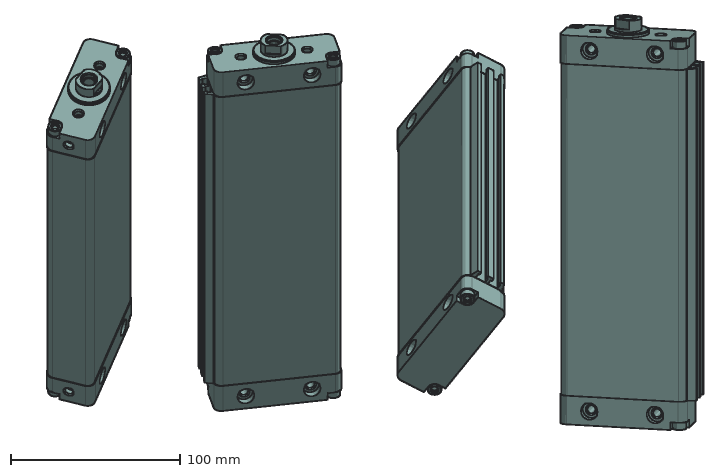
import cadquery as cq

total_height = 245.0
cap_width = 30.0
cap_depth = 77.0
cap_height = 17.5
corner_radius = 4.7
body_top = 236.0

barrel_inset = 0.5
barrel_bottom = cap_height
barrel_top = body_top - cap_height

rail_top = cap_depth / 2 + 5.1
lip_height = 2.0
rail_floor = cap_depth / 2 + 0.2
tee_half_neck = 1.0
tee_half_head = 2.0
hook_lip_x = 6.9
hook_neck_x = 7.5
hook_top_x = 9.3
hook_base_x = 11.0

collar_diameter = 25.0
collar_height = 2.2
collar_chamfer_height = 0.7
collar_chamfer_width = 0.5

rod_diameter = 16.0
rod_flat_width = 13.0
rod_flat_height = 5.5
rod_flat_angle = -16.0
rod_rim_diameter = 10.0
rod_thread_diameter = 8.5
rod_thread_depth = 3.0
rod_drill_diameter = 6.5
rod_drill_depth = 9.8
rod_point_depth = 2.2

hole_spacing = 40.0
mount_bore_diameter = 10.0
mount_bore_depth = 4.7
mount_hole_rim_diameter = 6.5
mount_hole_diameter = 5.0
tapped_rim_diameter = 6.5
tapped_thread_diameter = 5.0
tapped_thread_depth = 4.0
tapped_drill_diameter = 4.0
tapped_drill_depth = 5.0

head_diameter = 8.3
head_height = 4.7
head_face_diameter = 7.5
notch_diameter = 8.5
head_inset = 5.0
socket_rim_diameter = 5.0
socket_diameter = 4.0
socket_depth = 2.0
socket_point_depth = 1.2


def threaded_hole(rim_diameter, thread_diameter, thread_depth, drill_diameter, drill_depth, point_depth=0.0):
    """Cutter for a countersunk and stepped blind hole, running from the origin along -Z."""
    rim_radius = rim_diameter / 2
    thread_radius = thread_diameter / 2
    drill_radius = drill_diameter / 2
    countersink_depth = rim_radius - thread_radius
    outline = (
        cq.Workplane("XZ")
        .lineTo(rim_radius, 0)
        .lineTo(thread_radius, -countersink_depth)
        .lineTo(thread_radius, -thread_depth)
        .lineTo(drill_radius, -thread_depth)
        .lineTo(drill_radius, -drill_depth)
        .lineTo(0, -drill_depth - point_depth)
    )
    return outline.close().revolve(360, (0, 0, 0), (0, 1, 0))


def tapped_hole():
    """Cutter for the small flat-bottomed tapped hole used on the cap faces."""
    return threaded_hole(
        tapped_rim_diameter,
        tapped_thread_diameter,
        tapped_thread_depth,
        tapped_drill_diameter,
        tapped_drill_depth,
    )


def mount_hole():
    """Cutter for a through hole along X, counterbored and countersunk from both side faces."""
    half_width = cap_width / 2
    bore_floor = half_width - mount_bore_depth
    hole_radius = mount_hole_diameter / 2
    rim_radius = mount_hole_rim_diameter / 2
    rim_end = bore_floor - (rim_radius - hole_radius)
    bore_radius = mount_bore_diameter / 2
    return (
        cq.Workplane("XY")
        .moveTo(-half_width, 0)
        .lineTo(-half_width, bore_radius)
        .lineTo(-bore_floor, bore_radius)
        .lineTo(-bore_floor, rim_radius)
        .lineTo(-rim_end, hole_radius)
        .lineTo(rim_end, hole_radius)
        .lineTo(bore_floor, rim_radius)
        .lineTo(bore_floor, bore_radius)
        .lineTo(half_width, bore_radius)
        .lineTo(half_width, 0)
        .close()
        .revolve(360, (0, 0, 0), (1, 0, 0))
    )


def screw_notch():
    """Cutter for the +X +Y corner recess: round inside, open to both side faces, head_height deep."""
    radius = notch_diameter / 2
    screw_x = cap_width / 2 - head_inset
    screw_y = cap_depth / 2 - head_inset
    reach = 2 * head_inset
    return (
        cq.Workplane("XY")
        .moveTo(screw_x - radius, screw_y)
        .radiusArc((screw_x, screw_y - radius), -radius)
        .lineTo(screw_x + reach, screw_y - radius)
        .lineTo(screw_x + reach, screw_y + reach)
        .lineTo(screw_x - radius, screw_y + reach)
        .close()
        .extrude(-head_height)
    )


def screw_head():
    """Head of the +X +Y corner screw with its socket, upper face at Z = 0."""
    radius = head_diameter / 2
    screw_center = (cap_width / 2 - head_inset, cap_depth / 2 - head_inset, 0)
    head = cq.Workplane("XY").circle(radius).extrude(-head_height)
    head = head.faces(">Z").chamfer((head_diameter - head_face_diameter) / 2)
    socket_rim = (socket_rim_diameter - socket_diameter) / 2
    socket = (
        cq.Workplane("XZ")
        .lineTo(socket_rim_diameter / 2, 0)
        .lineTo(socket_diameter / 2, -socket_rim)
        .lineTo(socket_diameter / 2, -socket_depth)
        .lineTo(0, -socket_depth - socket_point_depth)
        .close()
        .revolve(360, (0, 0, 0), (0, 1, 0))
    )
    return head.cut(socket).translate(screw_center)


def cap_block():
    """Cap with its outer face at Z = 0 and its inner face at Z = -cap_height."""
    cap = (
        cq.Workplane("XY")
        .rect(cap_width, cap_depth)
        .extrude(-cap_height)
        .edges("|Z")
        .fillet(corner_radius)
    )
    for side in (1, -1):
        hole_place = (0, side * hole_spacing / 2, -cap_height / 2)
        cap = cap.cut(mount_hole().translate(hole_place))
    for turn in (0, 180):
        cap = cap.cut(screw_notch().rotate((0, 0, 0), (0, 0, 1), turn))
        cap = cap.union(screw_head().rotate((0, 0, 0), (0, 0, 1), turn))
    port = tapped_hole().rotate((0, 0, 0), (1, 0, 0), 90)
    return cap.cut(port.translate((0, -cap_depth / 2, -cap_height / 2)))


def top_cap():
    """Upper cap with tapped holes, the bearing collar and the rod bore."""
    cap = cap_block()
    for side in (1, -1):
        cap = cap.cut(tapped_hole().translate((0, side * hole_spacing / 2, 0)))
    collar = cq.Workplane("XY").circle(collar_diameter / 2).extrude(collar_height)
    collar = collar.faces(">Z").chamfer(collar_chamfer_height, collar_chamfer_width)
    rod_bore = (
        cq.Workplane("XY", origin=(0, 0, -cap_height))
        .circle(rod_diameter / 2)
        .extrude(cap_height + collar_height)
    )
    return cap.union(collar).cut(rod_bore).translate((0, 0, body_top))


def bottom_cap():
    """Lower cap: a mirrored cap block with its outer face down."""
    return cap_block().mirror("XY")


def barrel():
    """Barrel with a low rail base, a central T-rail and two hooked rails that leave two sensor slots."""
    half_depth = cap_depth / 2 - barrel_inset
    body = (
        cq.Workplane("XY", origin=(0, 0, barrel_bottom))
        .rect(cap_width - 2 * barrel_inset, 2 * half_depth)
        .extrude(barrel_top - barrel_bottom)
        .edges("|Z")
        .fillet(corner_radius - barrel_inset)
    )
    lip_bottom = rail_top - lip_height
    right_half = [
        (hook_base_x, half_depth),
        (hook_base_x, rail_floor),
        (hook_top_x, rail_top),
        (hook_lip_x, rail_top),
        (hook_lip_x, lip_bottom),
        (hook_neck_x, lip_bottom),
        (hook_neck_x, rail_floor),
        (tee_half_neck, rail_floor),
        (tee_half_neck, lip_bottom),
        (tee_half_head, lip_bottom),
        (tee_half_head, rail_top),
    ]
    left_half = [(-x, y) for x, y in reversed(right_half)]
    rails = (
        cq.Workplane("XY", origin=(0, 0, barrel_bottom))
        .polyline(right_half + left_half)
        .close()
        .extrude(barrel_top - barrel_bottom)
    )
    return body.union(rails)


def piston_rod():
    """Rod reaching through the top cap, with two wrench flats and a threaded end."""
    rod = (
        cq.Workplane("XY", origin=(0, 0, barrel_top))
        .circle(rod_diameter / 2)
        .extrude(total_height - barrel_top)
    )
    tip = cq.Workplane("XY", origin=(0, 0, total_height - rod_flat_height))
    outside_flats = (
        tip.rect(2 * rod_diameter, 2 * rod_diameter)
        .rect(rod_flat_width, 2 * rod_diameter)
        .extrude(rod_flat_height)
        .rotate((0, 0, 0), (0, 0, 1), rod_flat_angle)
    )
    thread = threaded_hole(
        rod_rim_diameter,
        rod_thread_diameter,
        rod_thread_depth,
        rod_drill_diameter,
        rod_drill_depth,
        rod_point_depth,
    )
    return rod.cut(outside_flats).cut(thread.translate((0, 0, total_height)))


result = cq.Compound.makeCompound([
    barrel().val(),
    top_cap().val(),
    bottom_cap().val(),
    piston_rod().val(),
])